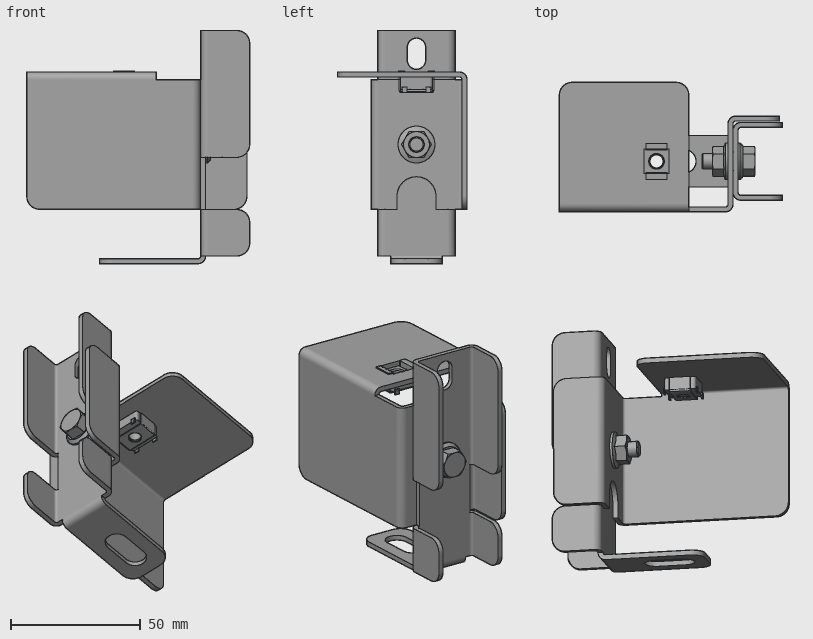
import cadquery as cq
import math

SHEET = 2.0
BEND_OUT = 3.0
BEND_IN = BEND_OUT - SHEET
CORNER = 5.0
MID_Y = 19.5

SHIELD_Z0 = 21.0
PLATE_SIDE = 50.0
SHIELD_Z1 = SHIELD_Z0 + PLATE_SIDE
PLATE_TOP = SHIELD_Z1 + BEND_OUT
PLATE_BOTTOM = PLATE_TOP - SHEET
JOINT_X = 67.05
SHIELD_WEB_X = JOINT_X - SHEET
SHIELD_DEPTH = 37.0
FLANGE_END_X = 85.0
NOTCH_WIDTH = 15.0
NOTCH_TOP = 33.6

CHANNEL_END_X = 86.0
CHANNEL_WIDTH = 30.1
CHANNEL_Y0 = MID_Y - CHANNEL_WIDTH / 2
CHANNEL_Y1 = MID_Y + CHANNEL_WIDTH / 2
CHANNEL_WEB_X = JOINT_X + SHEET
CHANNEL_TOP = 90
GAP_Z0 = SHIELD_Z0
GAP_Z1 = 41.0
WEB_SLOT_WIDTH = 7.0
WEB_SLOT_LENGTH = 12.0
WEB_SLOT_Z = 81
FOOT_WIDTH = 20.0
FOOT_X0 = 28.0
FOOT_SLOT_WIDTH = 9
FOOT_SLOT_X0 = 33.0
FOOT_SLOT_X1 = 52.7

BOLT_Z = (SHIELD_Z0 + SHIELD_Z1) / 2
SHANK_DIA = 6.0
SHANK_TIP_X = 55.0
TIP_CHAMFER = 0.45
HEX_FLATS = 10.0
HEX_CORNERS = HEX_FLATS / math.cos(math.pi / 6)
HEX_CHAMFER = 0.4
COLLAR_DIA = 14.2
HEAD_HEIGHT = 6.6
HEAD_RIM = 0.7
HEAD_COLLAR = 1.9
HEAD_COLLAR_TIP = 11.8
NUT_HEIGHT = 6.0
NUT_RIM = 1.0
NUT_COLLAR = 1.8

CLIP_X = 37.5
CLIP_HOLE = 9.5
CLIP_SHEET = 0.45
CLIP_WIDTH = 8.3
CLIP_BEND = 0.7
TAB_REACH = 2.2
CAGE_WIDTH = 13.3
CAGE_DEPTH = 6.0
CAGE_BEND = 0.9
NUT_SIDE = CAGE_WIDTH - 2 * CLIP_SHEET
NUT_CORNER = 1.0
NUT_LIFT = 0.8
THREAD_DIA = 5.0
THREAD_MOUTH = 6.0
LUG_WIDTH = 2.0
LUG_HEIGHT = 2.2
LUG_OFFSET = 4.6


def box(x0, x1, y0, y1, z0, z1):
    return cq.Workplane("XY").box(x1 - x0, y1 - y0, z1 - z0, centered=False).translate((x0, y0, z0))


def round_edge(body, direction, point, radius):
    """Fillet the edge along one axis whose midpoint is nearest to the point."""
    return body.edges("|" + direction).edges(cq.selectors.NearestToPointSelector(point)).fillet(radius)


def bend(body, direction, outer, inner):
    """Round both edges of a sheet metal fold."""
    body = round_edge(body, direction, outer, BEND_OUT)
    return round_edge(body, direction, inner, BEND_IN)


def shank(diameter, x0, x1):
    return cq.Workplane("YZ", origin=(x0, MID_Y, BOLT_Z)).circle(diameter / 2).extrude(x1 - x0)


def make_shield():
    mid_z = (SHIELD_Z0 + SHIELD_Z1) / 2
    back_inner = SHIELD_DEPTH - SHEET

    outline = [
        (0, 0), (JOINT_X, 0), (JOINT_X, back_inner), (FLANGE_END_X, back_inner),
        (FLANGE_END_X, SHIELD_DEPTH), (SHIELD_WEB_X, SHIELD_DEPTH), (SHIELD_WEB_X, SHEET), (0, SHEET),
    ]
    walls = cq.Workplane("XY").workplane(offset=SHIELD_Z0).polyline(outline).close().extrude(PLATE_SIDE)
    walls = bend(walls, "Z", (JOINT_X, 0, mid_z), (SHIELD_WEB_X, SHEET, mid_z))
    walls = bend(walls, "Z", (SHIELD_WEB_X, SHIELD_DEPTH, mid_z), (JOINT_X, back_inner, mid_z))
    for z in (SHIELD_Z0, SHIELD_Z1):
        walls = round_edge(walls, "Y", (FLANGE_END_X, SHIELD_DEPTH, z), CORNER)

    outline = [
        (0, SHIELD_Z0), (0, PLATE_TOP), (PLATE_SIDE, PLATE_TOP),
        (PLATE_SIDE, PLATE_BOTTOM), (SHEET, PLATE_BOTTOM), (SHEET, SHIELD_Z0),
    ]
    plate = cq.Workplane("YZ").polyline(outline).close().extrude(PLATE_SIDE)
    mid_x = PLATE_SIDE / 2
    plate = bend(plate, "X", (mid_x, 0, PLATE_TOP), (mid_x, SHEET, PLATE_BOTTOM))
    for x in (0, PLATE_SIDE):
        plate = round_edge(plate, "Z", (x, PLATE_SIDE, PLATE_TOP), CORNER)

    shield = walls.union(plate)
    shield = round_edge(shield, "Y", (0, 0, SHIELD_Z0), CORNER)

    radius = NOTCH_WIDTH / 2
    notch_centre = NOTCH_TOP - radius
    notch = box(SHIELD_WEB_X, JOINT_X, MID_Y - radius, MID_Y + radius, SHIELD_Z0, notch_centre)
    arch = cq.Workplane("YZ", origin=(SHIELD_WEB_X, MID_Y, notch_centre)).circle(radius).extrude(SHEET)

    half = CLIP_HOLE / 2
    clip_hole = box(CLIP_X - half, CLIP_X + half, MID_Y - half, MID_Y + half, PLATE_BOTTOM, PLATE_TOP)
    return shield.cut(notch).cut(arch).cut(clip_hole).cut(shank(SHANK_DIA, SHIELD_WEB_X, JOINT_X))


def make_channel():
    mid_z = (BEND_OUT + CHANNEL_TOP) / 2

    channel = box(JOINT_X, CHANNEL_END_X, CHANNEL_Y0, CHANNEL_Y1, BEND_OUT, CHANNEL_TOP)
    channel = channel.cut(
        box(CHANNEL_WEB_X, CHANNEL_END_X, CHANNEL_Y0 + SHEET, CHANNEL_Y1 - SHEET, BEND_OUT, CHANNEL_TOP)
    )
    for outer_y, inner_y in ((CHANNEL_Y0, CHANNEL_Y0 + SHEET), (CHANNEL_Y1, CHANNEL_Y1 - SHEET)):
        channel = bend(channel, "Z", (JOINT_X, outer_y, mid_z), (CHANNEL_WEB_X, inner_y, mid_z))

    for y0, y1 in ((CHANNEL_Y0, CHANNEL_Y0 + BEND_OUT), (CHANNEL_Y1 - BEND_OUT, CHANNEL_Y1)):
        channel = channel.cut(box(JOINT_X, CHANNEL_END_X, y0, y1, GAP_Z0, GAP_Z1))
    channel = channel.edges("|Y").edges(">X").fillet(CORNER)

    outline = [
        (FOOT_X0, 0), (CHANNEL_WEB_X, 0), (CHANNEL_WEB_X, GAP_Z0),
        (JOINT_X, GAP_Z0), (JOINT_X, SHEET), (FOOT_X0, SHEET),
    ]
    foot_y1 = MID_Y + FOOT_WIDTH / 2
    foot = cq.Workplane("XZ", origin=(0, foot_y1, 0)).polyline(outline).close().extrude(FOOT_WIDTH)
    foot = bend(foot, "Y", (CHANNEL_WEB_X, MID_Y, 0), (JOINT_X, MID_Y, SHEET))
    foot = foot.edges("|Z").edges("<X").fillet(CORNER)

    foot_slot = (
        cq.Workplane("XY", origin=((FOOT_SLOT_X0 + FOOT_SLOT_X1) / 2, MID_Y, 0))
        .slot2D(FOOT_SLOT_X1 - FOOT_SLOT_X0, FOOT_SLOT_WIDTH)
        .extrude(SHEET)
    )
    web_slot = (
        cq.Workplane("YZ", origin=(JOINT_X, MID_Y, WEB_SLOT_Z))
        .slot2D(WEB_SLOT_LENGTH, WEB_SLOT_WIDTH, 90)
        .extrude(SHEET)
    )
    channel = channel.union(foot).cut(foot_slot).cut(web_slot)
    return channel.cut(shank(SHANK_DIA, JOINT_X, CHANNEL_WEB_X))


def flanged_hex(seat_x, side, height, rim, collar, tip_dia):
    """Hexagon with a conical collar, standing on the plane x = seat_x; side is +1 or -1 along X."""
    corner_r = HEX_CORNERS / 2
    chamfer_r = HEX_FLATS / 2
    hexagon = (
        cq.Workplane("YZ", origin=(seat_x, MID_Y, BOLT_Z))
        .polygon(6, HEX_CORNERS)
        .extrude(side * height)
    )
    axis_start = (seat_x, MID_Y, BOLT_Z)
    envelope = [
        (0, 0), (0, corner_r), (side * (height - HEX_CHAMFER), corner_r),
        (side * height, chamfer_r), (side * height, 0),
    ]
    turned = cq.Workplane("XY", origin=axis_start).polyline(envelope).close().revolve(360, (0, 0), (1, 0))
    profile = [
        (0, 0), (0, COLLAR_DIA / 2), (side * rim, COLLAR_DIA / 2),
        (side * collar, tip_dia / 2), (side * collar, 0),
    ]
    flange = cq.Workplane("XY", origin=axis_start).polyline(profile).close().revolve(360, (0, 0), (1, 0))
    return hexagon.intersect(turned).union(flange)


def make_bolt():
    head = flanged_hex(CHANNEL_WEB_X, 1, HEAD_HEIGHT, HEAD_RIM, HEAD_COLLAR, HEAD_COLLAR_TIP)
    stem = shank(SHANK_DIA, SHANK_TIP_X, CHANNEL_WEB_X).faces("<X").chamfer(TIP_CHAMFER)
    return head.union(stem)


def make_nut():
    nut = flanged_hex(SHIELD_WEB_X, -1, NUT_HEIGHT, NUT_RIM, NUT_COLLAR, HEX_FLATS)
    return nut.cut(shank(SHANK_DIA, SHIELD_WEB_X - NUT_HEIGHT, SHIELD_WEB_X))


def make_clip_nut():
    half_hole = CLIP_HOLE / 2
    half_cage = CAGE_WIDTH / 2
    half_nut = NUT_SIDE / 2
    strip_x0 = CLIP_X - CLIP_WIDTH / 2
    strip_x1 = CLIP_X + CLIP_WIDTH / 2
    cage_bottom = PLATE_BOTTOM - CAGE_DEPTH
    nut_bottom = cage_bottom + CLIP_SHEET + NUT_LIFT

    clip = box(
        CLIP_X - half_nut, CLIP_X + half_nut, MID_Y - half_nut, MID_Y + half_nut, nut_bottom, PLATE_BOTTOM
    )
    clip = clip.edges("|Z").fillet(NUT_CORNER)

    cage = box(strip_x0, strip_x1, MID_Y - half_cage, MID_Y + half_cage, cage_bottom, PLATE_BOTTOM)
    cage = cage.edges("|X").edges("<Z").fillet(CAGE_BEND)
    cage = cage.cut(
        box(strip_x0, strip_x1, MID_Y - half_nut, MID_Y + half_nut, cage_bottom + CLIP_SHEET, PLATE_BOTTOM)
    )
    clip = clip.union(cage)

    neck_y = half_hole - CLIP_SHEET
    for side in (1, -1):
        outline = [
            (side * neck_y, PLATE_BOTTOM), (side * neck_y, PLATE_TOP + CLIP_SHEET),
            (side * (half_hole + TAB_REACH), PLATE_TOP + CLIP_SHEET),
            (side * (half_hole + TAB_REACH), PLATE_TOP),
            (side * half_hole, PLATE_TOP), (side * half_hole, PLATE_BOTTOM),
        ]
        leg = cq.Workplane("YZ", origin=(strip_x0, MID_Y, 0)).polyline(outline).close().extrude(CLIP_WIDTH)
        leg = round_edge(leg, "X", (CLIP_X, MID_Y + side * neck_y, PLATE_TOP + CLIP_SHEET), CLIP_BEND)
        clip = clip.union(leg)

    for x in (CLIP_X - half_nut - CLIP_SHEET, CLIP_X + half_nut):
        for y in (MID_Y - LUG_OFFSET, MID_Y + LUG_OFFSET):
            lug = box(x, x + CLIP_SHEET, y - LUG_WIDTH / 2, y + LUG_WIDTH / 2,
                      cage_bottom, cage_bottom + LUG_HEIGHT)
            clip = clip.union(lug)

    hole_start = (CLIP_X, MID_Y, cage_bottom)
    thread = cq.Workplane("XY", origin=hole_start).circle(THREAD_DIA / 2).extrude(CAGE_DEPTH)
    mouth_depth = (THREAD_MOUTH - THREAD_DIA) / 2
    mouth = cq.Workplane("XY").add(
        cq.Solid.makeCone(THREAD_DIA / 2, THREAD_MOUTH / 2, mouth_depth,
                          pnt=cq.Vector(CLIP_X, MID_Y, PLATE_BOTTOM - mouth_depth))
    )
    return clip.cut(thread).cut(mouth)


shield = make_shield()
channel = make_channel()
bolt = make_bolt()
nut = make_nut()
clip_nut = make_clip_nut()

result = cq.Compound.makeCompound([
    *shield.solids().vals(),
    *channel.solids().vals(),
    *bolt.solids().vals(),
    *nut.solids().vals(),
    *clip_nut.solids().vals(),
])